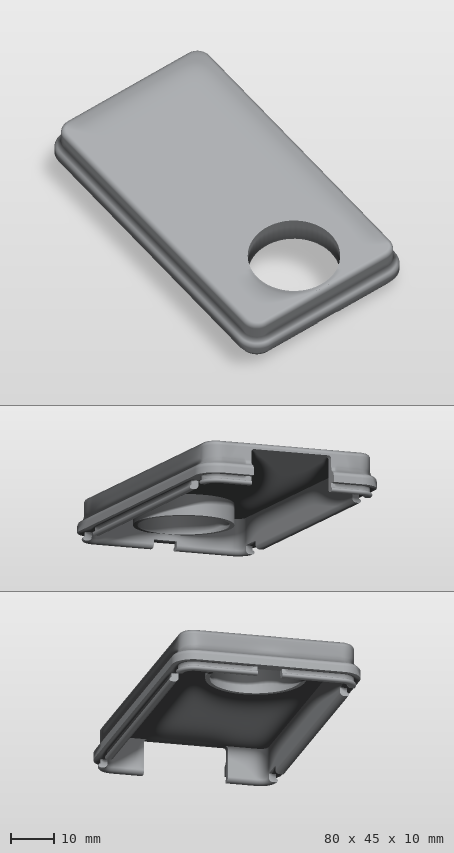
import cadquery as cq
import math

length = 80.0
width = 45.0
height = 10.0

side_wall = 1.7
top_plate = 1.5
corner_radius = 5.1
top_edge_radius = 1.1

flange_reach = 1.5
flange_bottom = 2.0
flange_edge_top = 3.5
cove_radius = 1.4
flange_round_radius = 1.1

bead_radius = 0.5
lip_inner_radius = 1.0
relief_width = 5.8
side_lip_length = 58.0

opening_width = 20.0
opening_corner_radius = 0.7

window_diameter = 21.4
window_x = 25.9
collar_wall = 1.0
collar_bottom = 3.5

inner_offset = flange_reach + side_wall
ceiling = height - top_plate
cut_depth = 2 * inner_offset


def box(x_min, x_max, y_size, z_min, z_max):
    """Box centred on the X axis in Y."""
    return cq.Workplane("XY").box(
        x_max - x_min, y_size, z_max - z_min, centered=(False, True, False)
    ).translate((x_min, 0, z_min))


def wall_profile():
    """Wall section on the -Y side: u is the distance in from the flange edge."""
    start = -width / 2
    bend = math.acos(1 - flange_reach / (cove_radius + flange_round_radius))

    def across(radius, angle):
        return radius * (1 - math.cos(angle))

    def rise(radius, angle):
        return radius * math.sin(angle)

    blend_u = across(flange_round_radius, bend)
    blend_z = flange_edge_top + rise(flange_round_radius, bend)
    cove_top = blend_z + rise(cove_radius, bend)
    round_mid = (
        across(flange_round_radius, bend / 2),
        flange_edge_top + rise(flange_round_radius, bend / 2),
    )
    cove_mid = (
        flange_reach - across(cove_radius, bend / 2),
        cove_top - rise(cove_radius, bend / 2),
    )
    corner = math.radians(45)
    top_mid = (
        flange_reach + across(top_edge_radius, corner),
        height - top_edge_radius + rise(top_edge_radius, corner),
    )
    lip_mid = (
        inner_offset - across(lip_inner_radius, corner),
        lip_inner_radius - rise(lip_inner_radius, corner),
    )

    def at(u, z):
        return (start + u, z)

    return (
        cq.Workplane("YZ")
        .moveTo(*at(flange_reach, 0))
        .threePointArc(at(flange_reach - bead_radius, bead_radius), at(flange_reach, 2 * bead_radius))
        .lineTo(*at(flange_reach, flange_bottom))
        .lineTo(*at(0, flange_bottom))
        .lineTo(*at(0, flange_edge_top))
        .threePointArc(at(*round_mid), at(blend_u, blend_z))
        .threePointArc(at(*cove_mid), at(flange_reach, cove_top))
        .lineTo(*at(flange_reach, height - top_edge_radius))
        .threePointArc(at(*top_mid), at(flange_reach + top_edge_radius, height))
        .lineTo(*at(inner_offset, height))
        .lineTo(*at(inner_offset, lip_inner_radius))
        .threePointArc(at(*lip_mid), at(inner_offset - lip_inner_radius, 0))
        .close()
    )


def rim_path():
    """Rounded rectangle along the flange edge, starting mid-way on the -Y side."""
    x, y, r = length / 2, width / 2, corner_radius
    return (
        cq.Workplane("XY")
        .moveTo(0, -y)
        .lineTo(x - r, -y)
        .radiusArc((x, -y + r), -r)
        .lineTo(x, y - r)
        .radiusArc((x - r, y), -r)
        .lineTo(-x + r, y)
        .radiusArc((-x, y - r), -r)
        .lineTo(-x, -y + r)
        .radiusArc((-x + r, -y), -r)
        .close()
    )


def shell():
    """Swept wall closed by the top plate."""
    half_length = length / 2 - inner_offset
    plate = (
        box(-half_length, half_length, width - 2 * inner_offset, ceiling, height)
        .edges("|Z")
        .fillet(corner_radius - inner_offset)
    )
    return wall_profile().sweep(rim_path()).union(plate)


def cable_opening():
    return (
        box(-length / 2 - cut_depth, -length / 2 + cut_depth, opening_width, -height, ceiling)
        .edges("|X and >Z")
        .fillet(opening_corner_radius)
    )


def lip_reliefs():
    """Gaps in the lip: beside each corner on the long sides, and mid-way on the +X side."""
    reliefs = box(length / 2 - cut_depth, length / 2 + cut_depth, relief_width, -height, flange_bottom)
    for side in (-1, 1):
        near = side * side_lip_length / 2
        far = near + side * relief_width
        reliefs = reliefs.union(box(min(near, far), max(near, far), 2 * width, -height, flange_bottom))
    return reliefs


def window_cylinder(radius, z_min):
    return cq.Workplane("XY", origin=(window_x, 0, z_min)).circle(radius).extrude(height - z_min)


window_radius = window_diameter / 2
collar = window_cylinder(window_radius + collar_wall, collar_bottom)

result = (
    shell()
    .union(collar)
    .cut(window_cylinder(window_radius, 0))
    .cut(cable_opening())
    .cut(lip_reliefs())
)